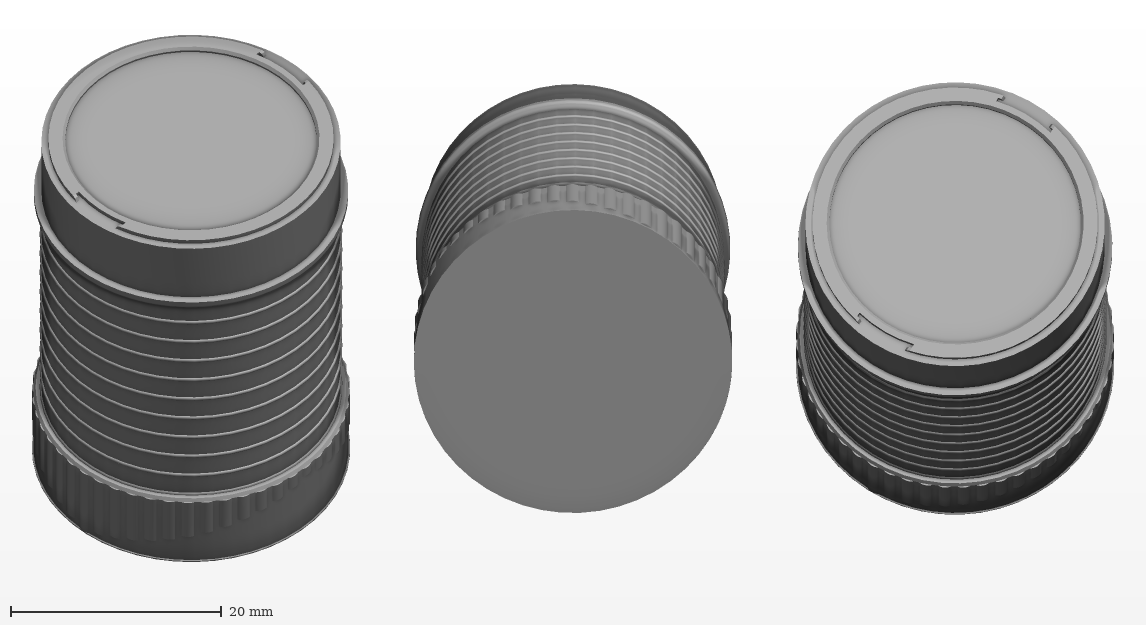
import cadquery as cq
import math

overall_diameter = 30.2
grip_radius = 14.95
grip_height = 8.27
grip_chamfer_height = 0.3
grip_chamfer_width = 0.2
grip_side_height = grip_height - grip_chamfer_height
lip_radius = overall_diameter / 2
lip_height = 0.13

bars_per_quarter = 13
bar_count = 4 * bars_per_quarter
bar_peak_radius = overall_diameter / 2
bar_round_radius = 1.25
bar_length_step = 0.5
shortest_bar_bottom = 6.95

total_height = 42.0
barrel_radius = 14.2
shoulder_height = 41.55

rib_count = 10
lowest_rib_height = grip_height
highest_rib_height = 31.55
rib_pitch = (highest_rib_height - lowest_rib_height) / (rib_count - 1)
rib_half_height = 0.2
rib_rise = 0.15

collar_radius = 14.9
collar_top = 35.0
collar_corner = 34.25
collar_bottom = 33.9
collar_fillet = 0.4

rim_radius = 13.52
recess_radius = 11.93
recess_chamfer = 0.25

notch_half_width = 3.02
notch_floor_radius = 12.75
ramp_inner_radius = 13.15
ramp_shoulder = 0.3
ramp_shoulder_drop = 0.1
ramp_length = 0.5


def disc(radius, bottom, top):
    return cq.Workplane("XY").workplane(offset=bottom).circle(radius).extrude(top - bottom)


def turned(outline):
    """Turn a closed outline, drawn on the -X side of the XZ plane, about the Z axis."""
    return outline.close().revolve(360, (0, 0, 0), (0, 1, 0))


def make_collar():
    outline = cq.Workplane("XZ").polyline([
        (0, collar_bottom),
        (-barrel_radius, collar_bottom),
        (-collar_radius, collar_corner),
        (-collar_radius, collar_top),
        (0, collar_top),
    ])
    corner = cq.selectors.NearestToPointSelector((collar_radius, 0, collar_corner))
    return turned(outline).edges(corner).fillet(collar_fillet)


def make_rib(height):
    outline = (
        cq.Workplane("XZ")
        .moveTo(0, height - rib_half_height)
        .lineTo(-barrel_radius, height - rib_half_height)
        .threePointArc((-barrel_radius - rib_rise, height), (-barrel_radius, height + rib_half_height))
        .lineTo(0, height + rib_half_height)
    )
    return turned(outline)


def make_notch_tool():
    """Cutter for the notch on the +Y side; its sloping ends leave the ramps standing."""
    band = disc(barrel_radius, shoulder_height, total_height).cut(
        disc(notch_floor_radius, shoulder_height, total_height))
    width = cq.Workplane("XY").box(
        2 * notch_half_width, barrel_radius, total_height, centered=(True, False, False))
    ramp_band = disc(barrel_radius, shoulder_height, total_height).cut(
        disc(ramp_inner_radius, shoulder_height, total_height))
    ramp_profile = [
        (notch_half_width, shoulder_height),
        (notch_half_width, total_height),
        (notch_half_width - ramp_shoulder, total_height - ramp_shoulder_drop),
        (notch_half_width - ramp_length, shoulder_height),
    ]
    ramp = cq.Workplane("XZ").polyline(ramp_profile).close().extrude(-barrel_radius).intersect(ramp_band)
    return band.intersect(width).cut(ramp).cut(ramp.mirror("YZ"))


def make_barrel():
    outline = cq.Workplane("XZ").polyline([
        (0, grip_height),
        (-barrel_radius, grip_height),
        (-barrel_radius, shoulder_height),
        (-rim_radius, shoulder_height),
        (-rim_radius, total_height),
        (-recess_radius - recess_chamfer, total_height),
        (-recess_radius, total_height - recess_chamfer),
        (-recess_radius, shoulder_height),
        (0, shoulder_height),
    ])
    barrel = turned(outline).union(make_collar())
    for i in range(rib_count):
        barrel = barrel.union(make_rib(lowest_rib_height + i * rib_pitch))
    barrel = barrel.cut(disc(lip_radius, 0, grip_height))
    notch = make_notch_tool()
    return barrel.cut(notch).cut(notch.mirror("XZ"))


def bar_bottom(index):
    """Bottom of a bar, counted from the -Y axis; the bars on the Y axis reach the foot."""
    half_turn = 2 * bars_per_quarter
    steps_from_y = min(index % half_turn, half_turn - index % half_turn)
    if steps_from_y == 0:
        return 0
    return shortest_bar_bottom - (bars_per_quarter - steps_from_y) * bar_length_step


def make_grip():
    outline = cq.Workplane("XZ").polyline([
        (0, 0),
        (-lip_radius, 0),
        (-lip_radius, lip_height),
        (-grip_radius, lip_height),
        (-grip_radius, grip_side_height),
        (-grip_radius + grip_chamfer_width, grip_height),
        (0, grip_height),
    ])
    grip = turned(outline)
    for i in range(bar_count):
        angle = math.radians(i * 360 / bar_count - 90)
        axis_radius = bar_peak_radius - bar_round_radius
        bar = disc(bar_round_radius, bar_bottom(i), grip_side_height).translate(
            (axis_radius * math.cos(angle), axis_radius * math.sin(angle), 0))
        grip = grip.union(bar)
    return grip


barrel = make_barrel()
grip = make_grip()
result = cq.Compound.makeCompound([barrel.solids().val(), grip.solids().val()])